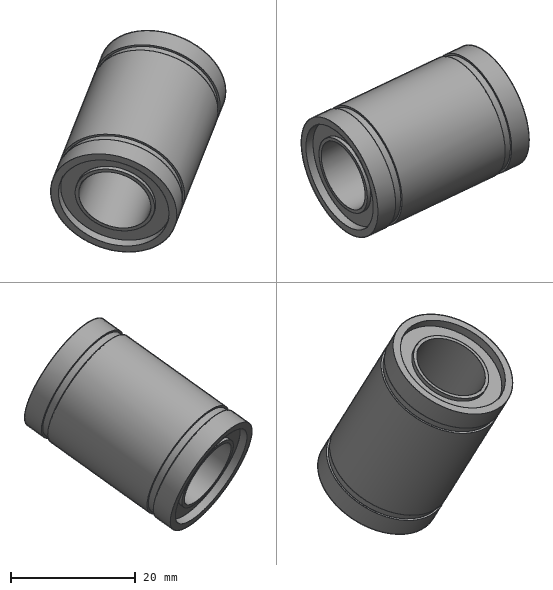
import cadquery as cq

length = 30.0
outer_diameter = 21.0
bore_diameter = 12.0

groove_diameter = 20.3
groove_width = 1.3
groove_span = 23.0

recess_diameter = 18.4
recess_depth = 1.4
sleeve_diameter = 13.2
sleeve_setback = 0.72


def ring(outside, inside, start, thickness):
    """Ring around the Y axis, from start to start + thickness along Y."""
    plane = cq.Workplane("XZ", origin=(0, start, 0))
    return plane.circle(outside / 2).circle(inside / 2).extrude(-thickness)


body = ring(outer_diameter, bore_diameter, -length / 2, length)

groove_offset = groove_span / 2 - groove_width / 2
for groove_center in (-groove_offset, groove_offset):
    groove_start = groove_center - groove_width / 2
    body = body.cut(ring(outer_diameter, groove_diameter, groove_start, groove_width))

front_recess = ring(recess_diameter, sleeve_diameter, -length / 2, recess_depth)
front_setback = ring(recess_diameter, bore_diameter, -length / 2, sleeve_setback)
front_cut = front_recess.union(front_setback)

result = body.cut(front_cut).cut(front_cut.mirror("XZ"))